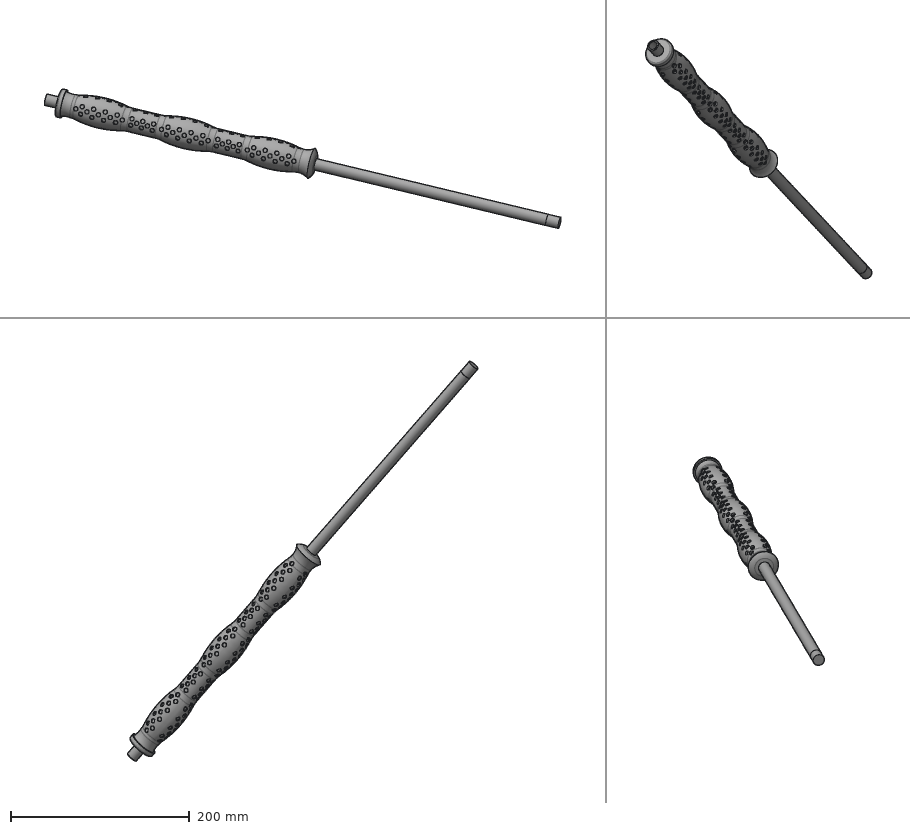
import cadquery as cq
import math


total_length = 600.0
tube_radius = 6.5
tip_length = 14.5
tip_step = 0.1
bore_diameter = 9.5
bore_depth = 14.5

grip_radius = 17.5
waist_diameter = 27.0
waist_radius = waist_diameter / 2
grip_start = 15.0
grip_end = 314.5
face_cone_depth = 0.5

flange_radius = 16.0
flange_round = 2.0
flange_width = 6.0
flange_back_radius = 14.5
neck_radius = 13.0
neck_end = 32.0

first_center = 65.0
bulge_spacing = 100.0
bulge_centers = [first_center + i * bulge_spacing for i in range(3)]
bulge_reach = 33.5
convex_share = 0.79
first_bulge_start = 35.5

flare_peak = 310.0
end_face_radius = 11.0
end_round_radius = 12.0

dimple_diameter = 5.0
dimple_depth = 2.0
corner_angles = [45, 135, 225, 315]
bulge_outer_count = 4
bulge_middle_count = 5
bulge_row_length = 41.0
bulge_pitch = bulge_row_length / (bulge_outer_count - 1)
bulge_row_angle = 17
waist_outer_count = 3
waist_middle_count = 2
waist_pitch = 12.5
waist_row_angle = 17

rise = grip_radius - waist_radius
arc_radii_sum = (bulge_reach**2 + rise**2) / (2 * rise)
bulge_arc_radius = arc_radii_sum * convex_share
blend_arc_radius = arc_radii_sum - bulge_arc_radius
bulge_half_width = bulge_reach * convex_share
bulge_edge_radius = grip_radius - rise * convex_share
mid_blend = (bulge_half_width + bulge_reach) / 2


def bulge_radius_at(offset):
    """Radius of the convex part of a bulge at a distance along X from its centre."""
    return grip_radius - bulge_arc_radius + math.sqrt(bulge_arc_radius**2 - offset**2)


def blend_radius_at(offset):
    """Radius of the concave blend at a distance along X from the bulge centre."""
    run = bulge_reach - abs(offset)
    return waist_radius + blend_arc_radius - math.sqrt(blend_arc_radius**2 - run**2)


def bulge_surface_radius(offset):
    """Grip radius at a distance along X from a bulge centre."""
    if abs(offset) <= bulge_half_width:
        return bulge_radius_at(offset)
    return blend_radius_at(offset)


def waist_surface_radius(offset):
    """Grip radius between two bulges, the same at every distance from the middle."""
    return waist_radius


def add_rise(outline, center):
    """Run along the waist and curve up to the near edge of a bulge."""
    return outline.lineTo(center - bulge_reach, waist_radius).threePointArc(
        (center - mid_blend, blend_radius_at(mid_blend)),
        (center - bulge_half_width, bulge_edge_radius),
    )


def add_crest(outline, center):
    """Pass over a bulge and curve back down to the waist."""
    return outline.threePointArc(
        (center, grip_radius),
        (center + bulge_half_width, bulge_edge_radius),
    ).threePointArc(
        (center + mid_blend, blend_radius_at(mid_blend)),
        (center + bulge_reach, waist_radius),
    )


def make_grip():
    flange_back = grip_start + flange_width
    neck_middle = (flange_back + neck_end) / 2
    flare_start = bulge_centers[-1] + bulge_reach
    flare_arc_radius = ((flare_peak - flare_start) ** 2 + rise**2) / (2 * rise)

    outline = (
        cq.Workplane("XY")
        .moveTo(grip_start - face_cone_depth, 0)
        .lineTo(grip_start - face_cone_depth, tube_radius)
        .lineTo(grip_start, flange_radius - flange_round)
        .radiusArc((grip_start + flange_round, flange_radius), flange_round)
        .lineTo(flange_back, flange_radius)
        .lineTo(flange_back, flange_back_radius)
        .threePointArc((neck_middle, neck_radius), (neck_end, waist_radius))
        .lineTo(first_bulge_start, bulge_radius_at(bulge_centers[0] - first_bulge_start))
    )
    outline = add_crest(outline, bulge_centers[0])
    for center in bulge_centers[1:]:
        outline = add_crest(add_rise(outline, center), center)
    outline = (
        outline.radiusArc((flare_peak, grip_radius), -flare_arc_radius)
        .radiusArc((grip_end, end_face_radius), end_round_radius)
        .lineTo(grip_end + face_cone_depth, tube_radius)
        .lineTo(grip_end + face_cone_depth, 0)
        .close()
    )
    return outline.revolve(360, (0, 0, 0), (1, 0, 0))


def make_tube():
    tip_start = total_length - tip_length
    main = cq.Workplane("YZ").circle(tube_radius).extrude(tip_start)
    tip = cq.Workplane("YZ").workplane(offset=tip_start).circle(tube_radius - tip_step).extrude(tip_length)
    return main.union(tip)


def make_dimple(x, angle, surface_radius):
    """Round cutter standing on the dimple floor, turned to an angle about the X axis."""
    cutter = cq.Workplane("XY").workplane(offset=surface_radius - dimple_depth)
    cutter = cutter.circle(dimple_diameter / 2).extrude(2 * dimple_depth)
    return cutter.rotate((0, 0, 0), (1, 0, 0), angle).translate((x, 0, 0)).val()


def make_dimple_field(center, outer_count, middle_count, pitch, row_angle, surface_radius_at):
    """Three staggered rows of dimples on every diagonal, centred on one place along the grip."""
    rows = [(-row_angle, outer_count), (0, middle_count), (row_angle, outer_count)]
    cutters = []
    for corner in corner_angles:
        for turn, count in rows:
            for index in range(count):
                offset = (index - (count - 1) / 2) * pitch
                cutters.append(make_dimple(center + offset, corner + turn, surface_radius_at(offset)))
    return cutters


def make_dimples():
    cutters = []
    for center in bulge_centers:
        cutters += make_dimple_field(
            center, bulge_outer_count, bulge_middle_count, bulge_pitch, bulge_row_angle, bulge_surface_radius
        )
    for left, right in zip(bulge_centers, bulge_centers[1:]):
        middle = (left + right) / 2
        cutters += make_dimple_field(
            middle, waist_outer_count, waist_middle_count, waist_pitch, waist_row_angle, waist_surface_radius
        )
    return cq.Workplane(obj=cq.Compound.makeCompound(cutters))


bore = cq.Workplane("YZ").circle(bore_diameter / 2).extrude(bore_depth)

result = make_grip().cut(make_dimples()).union(make_tube()).cut(bore)